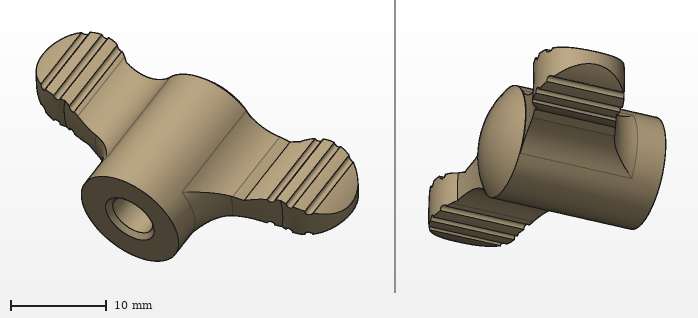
import cadquery as cq
import math


hub_radius = 6.0
total_height = 18.0
dome_base_y = 15.87

bore_diameter = 4.92
bore_mouth_diameter = 6.0
bore_depth = 12.0

wing_span = 38.0
pad_radius = 4.75
pad_center_x = wing_span / 2 - pad_radius
pad_center_y = total_height - pad_radius
root_fillet_radius = 3.75
root_start_y = 3.2
underside_angle = math.radians(20.2)
top_edge_y = 15.8
top_edge_curve_start_x = 5.5
top_edge_end_x = 10.85

upper_pad_radius = 9.0
upper_pad_peak = (13.7, 2.83)
upper_pad_start_x = 9.55
upper_neck_radius = 6.2
upper_neck_hub_x = 4.4
upper_neck_end_x = 8.4
lower_pad_radius = 10.5
lower_pad_peak_x = 14.2
lower_neck_radius = 5.8
lower_neck_hub_x = 4.92
profile_overrun = 1.0
profile_end_x = wing_span / 2 + profile_overrun

groove_radius = 0.4
groove_pitch = 2.06
first_groove_x = 12.24
groove_count = 3


def arc_z(center, radius, x, side):
    """Z of a circle at x, on its upper (side=1) or lower (side=-1) half."""
    return center[1] + side * math.sqrt(radius**2 - (x - center[0]) ** 2)


def neck_center(hub_x, radius, side):
    """Center of a neck arc that touches the hub circle from outside at hub_x."""
    hub_z = side * math.sqrt(hub_radius**2 - hub_x**2)
    reach = (hub_radius + radius) / hub_radius
    return (hub_x * reach, hub_z * reach)


upper_pad_center = (upper_pad_peak[0], upper_pad_peak[1] - upper_pad_radius)
upper_neck_center = neck_center(upper_neck_hub_x, upper_neck_radius, 1)
lower_neck_center = neck_center(lower_neck_hub_x, lower_neck_radius, -1)

lower_arcs_reach = lower_neck_radius + lower_pad_radius
lower_pad_center = (
    lower_pad_peak_x,
    arc_z(lower_neck_center, lower_arcs_reach, lower_pad_peak_x, 1),
)


def make_hub():
    """Cylinder with a spherical dome, turned about the Y axis."""
    dome_height = total_height - dome_base_y
    dome_radius = (hub_radius**2 + dome_height**2) / (2 * dome_height)
    mid_x = hub_radius / 2
    mid_y = total_height - dome_radius + math.sqrt(dome_radius**2 - mid_x**2)
    return (
        cq.Workplane("XY")
        .lineTo(hub_radius, 0)
        .lineTo(hub_radius, dome_base_y)
        .threePointArc((mid_x, mid_y), (0, total_height))
        .close()
        .revolve(360, (0, 0, 0), (0, 1, 0))
    )


def make_bore():
    """Blind bore with a 45 degree countersunk mouth, turned about the Y axis."""
    bore_radius = bore_diameter / 2
    mouth_radius = bore_mouth_diameter / 2
    return (
        cq.Workplane("XY")
        .lineTo(mouth_radius, 0)
        .lineTo(bore_radius, mouth_radius - bore_radius)
        .lineTo(bore_radius, bore_depth)
        .lineTo(0, bore_depth)
        .close()
        .revolve(360, (0, 0, 0), (0, 1, 0))
    )


def make_wing_envelope():
    """Wing outline turned a full circle about the hub axis."""
    root_center_x = hub_radius + root_fillet_radius
    root_end_x = root_center_x - root_fillet_radius * math.sin(underside_angle)
    root_end_y = root_start_y + root_fillet_radius * math.cos(underside_angle)
    root_mid_angle = (math.pi + math.pi / 2 + underside_angle) / 2
    root_mid_x = root_center_x + root_fillet_radius * math.cos(root_mid_angle)
    root_mid_y = root_start_y + root_fillet_radius * math.sin(root_mid_angle)

    along_x = math.cos(underside_angle)
    along_y = math.sin(underside_angle)
    to_pad_x = pad_center_x - root_end_x
    to_pad_y = pad_center_y - root_end_y
    along = to_pad_x * along_x + to_pad_y * along_y
    across = to_pad_y * along_x - to_pad_x * along_y
    underside_length = along - math.sqrt(pad_radius**2 - across**2)
    underside_end = (root_end_x + underside_length * along_x, root_end_y + underside_length * along_y)

    pad_start_y = pad_center_y + math.sqrt(pad_radius**2 - (top_edge_end_x - pad_center_x) ** 2)
    rise = pad_start_y - top_edge_y
    run = top_edge_end_x - top_edge_curve_start_x
    top_edge_radius = (run**2 + rise**2) / (2 * rise)
    top_edge_mid_x = top_edge_curve_start_x + run / 2
    top_edge_mid_y = top_edge_y + top_edge_radius - math.sqrt(top_edge_radius**2 - (run / 2) ** 2)
    return (
        cq.Workplane("XY")
        .moveTo(0, root_start_y)
        .lineTo(hub_radius, root_start_y)
        .threePointArc((root_mid_x, root_mid_y), (root_end_x, root_end_y))
        .lineTo(*underside_end)
        .threePointArc((wing_span / 2, pad_center_y), (top_edge_end_x, pad_start_y))
        .threePointArc((top_edge_mid_x, top_edge_mid_y), (top_edge_curve_start_x, top_edge_y))
        .lineTo(0, top_edge_y)
        .close()
        .revolve(360, (0, 0, 0), (0, 1, 0))
    )


def extrude_along_y(sketch):
    """Extrude an XZ sketch from the flat end of the hub to the dome top."""
    return sketch.extrude(-total_height)


def make_wing_section():
    """Thickness profile of the +X wing: concave necks leading to a lens-shaped pad."""

    def upper_neck(x):
        return (x, arc_z(upper_neck_center, upper_neck_radius, x, -1))

    def lower_neck(x):
        return (x, arc_z(lower_neck_center, lower_neck_radius, x, 1))

    def upper_pad(x):
        return (x, arc_z(upper_pad_center, upper_pad_radius, x, 1))

    def lower_pad(x):
        return (x, arc_z(lower_pad_center, lower_pad_radius, x, -1))

    share = lower_neck_radius / lower_arcs_reach
    lower_join_x = lower_neck_center[0] + share * (lower_pad_peak_x - lower_neck_center[0])
    upper_neck_mid_x = (upper_neck_hub_x + upper_neck_end_x) / 2
    lower_neck_mid_x = (lower_neck_hub_x + lower_join_x) / 2
    return extrude_along_y(
        cq.Workplane("XZ")
        .lineTo(*upper_neck(upper_neck_hub_x))
        .threePointArc(upper_neck(upper_neck_mid_x), upper_neck(upper_neck_end_x))
        .lineTo(*upper_pad(upper_pad_start_x))
        .threePointArc(upper_pad_peak, upper_pad(profile_end_x))
        .lineTo(*lower_pad(profile_end_x))
        .threePointArc(lower_pad(lower_pad_peak_x), lower_pad(lower_join_x))
        .threePointArc(lower_neck(lower_neck_mid_x), lower_neck(lower_neck_hub_x))
        .close()
    )


def make_grooves():
    """Round grooves along Y, centered on the upper and lower pad faces."""
    centers = []
    for index in range(groove_count):
        x = first_groove_x + index * groove_pitch
        centers.append((x, arc_z(upper_pad_center, upper_pad_radius, x, 1)))
        centers.append((x, arc_z(lower_pad_center, lower_pad_radius, x, -1)))
    return extrude_along_y(cq.Workplane("XZ").pushPoints(centers).circle(groove_radius))


wing = make_wing_section().cut(make_grooves()).intersect(make_wing_envelope())
opposite_wing = wing.rotate((0, 0, 0), (0, 1, 0), 180)

result = make_hub().union(wing).union(opposite_wing).cut(make_bore())